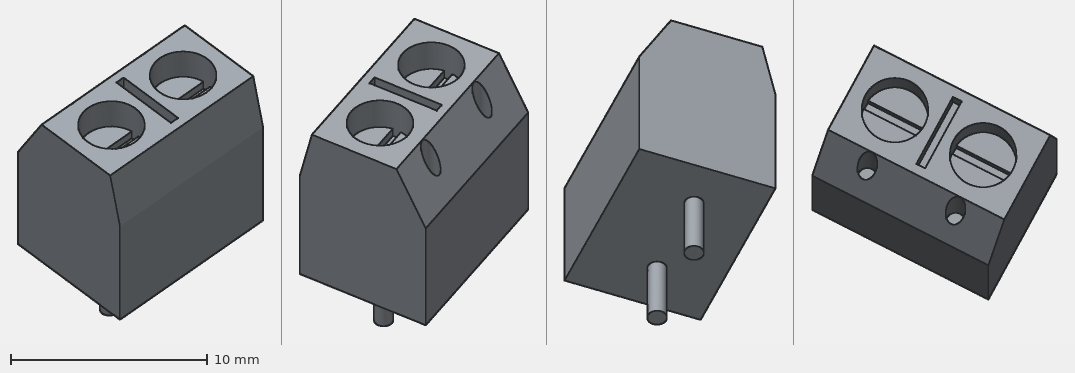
import cadquery as cq

WIDTH = 7.5
LENGTH = 10.16
TOTAL_HEIGHT = 13.6
PIN_LENGTH = 3.58
BASE_Z = PIN_LENGTH
LEFT_SHOULDER_Z = TOTAL_HEIGHT - 3.29
RIGHT_SHOULDER_Z = TOTAL_HEIGHT - 3.2
TOP_LEFT_X = 1.74
TOP_RIGHT_X = 6.77

POLE_PITCH = 5.09
PIN_PITCH = 5.0
PIN_DIAMETER = 1.0
PIN_X = 4.05

SCREW_X = 4.25
SCREW_DIAMETER = 3.4
SCREW_RECESS = 1.85
SCREW_HEIGHT = 2.0
SCREW_TOP_Z = TOTAL_HEIGHT - SCREW_RECESS
DRIVER_SLOT_WIDTH = 0.49
DRIVER_SLOT_DEPTH = 0.5

PROBE_DIAMETER = 1.0
PROBE_X = 1.22

GROOVE_LENGTH = 4.0
GROOVE_WIDTH = 0.5
GROOVE_DEPTH = 1.0


def pair(pitch):
    """Y positions of the two poles."""
    return [-pitch / 2, pitch / 2]


def cylinder(x, y, bottom_z, diameter, height):
    """Upright cylinder standing on bottom_z."""
    return cq.Workplane("XY", origin=(x, y, bottom_z)).circle(diameter / 2).extrude(height)


def make_housing():
    """Block with two sloped shoulders, screw wells, probe holes and a groove."""
    body = (
        cq.Workplane("XZ")
        .moveTo(0, BASE_Z)
        .lineTo(WIDTH, BASE_Z)
        .lineTo(WIDTH, RIGHT_SHOULDER_Z)
        .lineTo(TOP_RIGHT_X, TOTAL_HEIGHT)
        .lineTo(TOP_LEFT_X, TOTAL_HEIGHT)
        .lineTo(0, LEFT_SHOULDER_Z)
        .close()
        .extrude(LENGTH / 2, both=True)
    )
    for y in pair(POLE_PITCH):
        body = body.cut(
            cylinder(SCREW_X, y, SCREW_TOP_Z - SCREW_HEIGHT, SCREW_DIAMETER, SCREW_RECESS + SCREW_HEIGHT)
        )
        body = body.cut(
            cylinder(PROBE_X, y, LEFT_SHOULDER_Z, PROBE_DIAMETER, TOTAL_HEIGHT - LEFT_SHOULDER_Z)
        )
    groove = (
        cq.Workplane("XY", origin=(SCREW_X, 0, TOTAL_HEIGHT))
        .rect(GROOVE_LENGTH, GROOVE_WIDTH)
        .extrude(-GROOVE_DEPTH)
    )
    return body.cut(groove)


def make_screw(y):
    """Cylindrical screw with a straight driver slot along Y."""
    screw = cylinder(SCREW_X, y, SCREW_TOP_Z - SCREW_HEIGHT, SCREW_DIAMETER, SCREW_HEIGHT)
    slot = (
        cq.Workplane("XY", origin=(SCREW_X, y, SCREW_TOP_Z))
        .rect(DRIVER_SLOT_WIDTH, SCREW_DIAMETER)
        .extrude(-DRIVER_SLOT_DEPTH)
    )
    return screw.cut(slot)


def make_pin(y):
    """Round solder pin meeting the underside of the housing."""
    return cylinder(PIN_X, y, 0, PIN_DIAMETER, PIN_LENGTH)


housing = make_housing()
screws = [make_screw(y) for y in pair(POLE_PITCH)]
pins = [make_pin(y) for y in pair(PIN_PITCH)]

result = cq.Compound.makeCompound(
    [housing.val()] + [screw.val() for screw in screws] + [pin.val() for pin in pins]
)